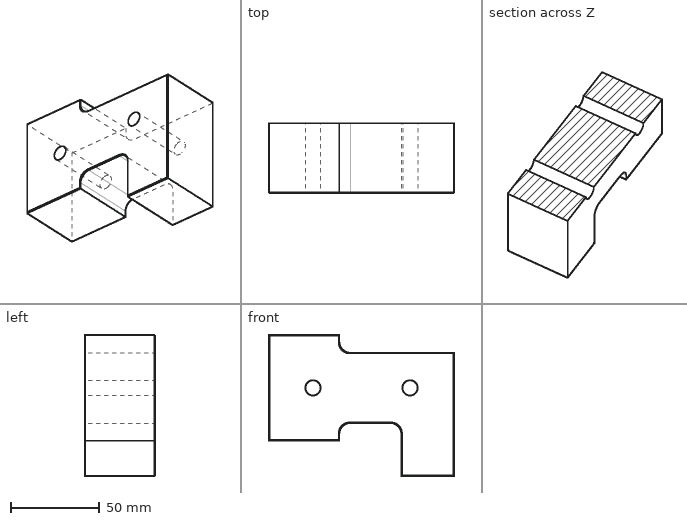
import cadquery as cq

length = 105.0
depth = 39.7
height = 80.0

head_length = 40.0
head_bottom = 20.0
top_step = 10.0
leg_length = 30.0
notch_ceiling = 30.0
corner_radius = 6.0

edge_chamfer = 0.5
hole_diameter = 8.5
hole_positions = [25.0, 80.0]
hole_height = 50.0

shoulder_height = height - top_step
leg_start = length - leg_length


def stepped_block():
    """Extrude the outline from the front face (Y = 0) toward +Y."""
    outline = [
        (0, head_bottom),
        (head_length, head_bottom),
        (head_length, notch_ceiling),
        (leg_start, notch_ceiling),
        (leg_start, 0),
        (length, 0),
        (length, shoulder_height),
        (head_length, shoulder_height),
        (head_length, height),
        (0, height),
    ]
    return cq.Workplane("XZ").polyline(outline).close().extrude(-depth)


def round_inside_corners(body):
    """Fillet the three inside corners of the outline along Y."""
    corners = [
        (head_length, shoulder_height),
        (head_length, notch_ceiling),
        (leg_start, notch_ceiling),
    ]
    for x, z in corners:
        edge = cq.selectors.NearestToPointSelector((x, depth / 2, z))
        body = body.edges(edge).fillet(corner_radius)
    return body


def through_holes():
    """Cylinders along Y that pass through the whole depth."""
    centers = [(x, hole_height) for x in hole_positions]
    return cq.Workplane("XZ").pushPoints(centers).circle(hole_diameter / 2).extrude(-depth)


block = round_inside_corners(stepped_block())
block = block.faces("<Y").edges().chamfer(edge_chamfer)
result = block.cut(through_holes())